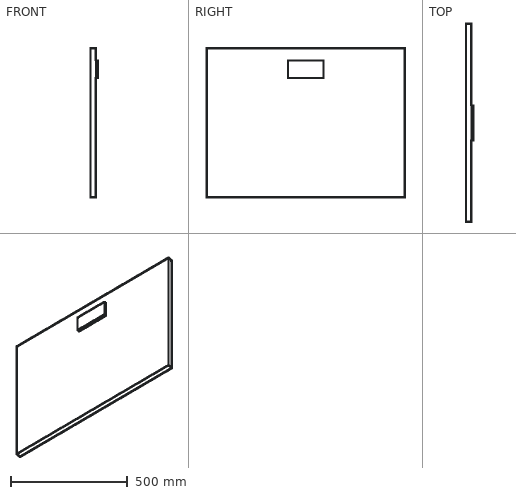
import cadquery as cq

TOTAL_DEPTH = 33.0
PANEL_THICKNESS = 23.0
PANEL_WIDTH = 850.0
PANEL_HEIGHT = 640.0

BLOCK_DEPTH = TOTAL_DEPTH - PANEL_THICKNESS
BLOCK_WIDTH = 150.0
BLOCK_HEIGHT = BLOCK_WIDTH / 2
BLOCK_CENTRE_DROP = 90.0


def make_panel():
    """Panel with its -X face at X = 0 and its bottom edge at Z = 0."""
    return cq.Workplane("XY").box(
        PANEL_THICKNESS, PANEL_WIDTH, PANEL_HEIGHT, centered=(False, True, False)
    )


def make_block():
    """Block standing out from the panel's +X face near the top edge."""
    block_centre_z = PANEL_HEIGHT - BLOCK_CENTRE_DROP
    return (
        cq.Workplane("XY")
        .box(BLOCK_DEPTH, BLOCK_WIDTH, BLOCK_HEIGHT, centered=(False, True, True))
        .translate((PANEL_THICKNESS, 0, block_centre_z))
    )


result = make_panel().union(make_block())